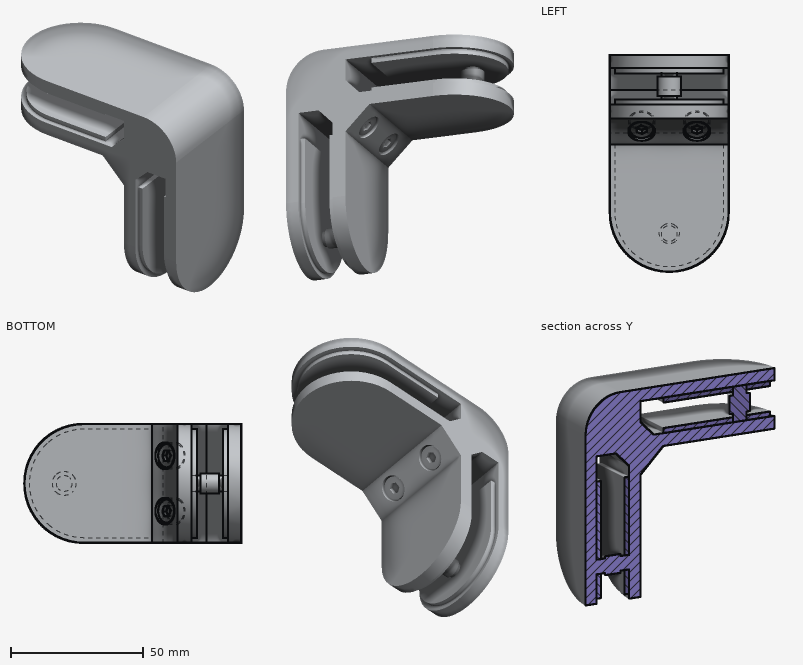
import cadquery as cq
import math


ARM_LENGTH = 82.0
WIDTH = 45.0
OUTER_PLATE = 5.0
SLOT_GAP = 13.8
INNER_PLATE = 5.25
CORNER_RADIUS = 15.0
SLOT_CHAMFER = 5.6
WEB_LEG = 9.75
SLOT_NEAR = OUTER_PLATE
SLOT_FAR = SLOT_NEAR + SLOT_GAP
ARM_DEPTH = SLOT_FAR + INNER_PLATE
END_RADIUS = WIDTH / 2
END_CENTRE = ARM_LENGTH - END_RADIUS

GASKET_THICKNESS = 2.0
GASKET_INSET = 2.0
GASKET_RADIUS = END_RADIUS - GASKET_INSET
GASKET_START = ARM_DEPTH + WEB_LEG

STEM_DIAMETER = 6.0
PIN_FROM_END = 15.1
PIN_COLLAR_DIAMETER = 9.0
PIN_COLLAR_LENGTH = 7.4
POST_FROM_END = 14.5
POST_COLLAR_DIAMETER = 7.6
POST_COLLAR_LENGTH = 6.9

SCREW_SPACING = 20.9
SCREW_DIAMETER = 8.85
SCREW_LENGTH = 4.9
SCREW_RECESS = 0.9
SCREW_HOLE_DIAMETER = 10.0
SOCKET_ACROSS_FLATS = 3.85
SOCKET_DEPTH = 2.05
SOCKET_ANGLES = (90, 84)


def to_lower_arm(shape):
    """Swap X and Z, which carries a shape from the -X arm to the -Z arm."""
    return shape.mirror("XY").rotate((0, 0, 0), (0, 1, 0), -90)


def tongue(start, radius, top, thickness):
    """Plate in the -X arm from x = -start to a half-round end, with its upper face at z = top."""
    return (
        cq.Workplane("XY", origin=(0, 0, top))
        .moveTo(-start, -radius)
        .lineTo(-END_CENTRE, -radius)
        .threePointArc((-END_CENTRE - radius, 0), (-END_CENTRE, radius))
        .lineTo(-start, radius)
        .close()
        .extrude(-thickness)
    )


def collared_stem(from_end, collar_diameter, collar_length):
    """Stem across the slot of the -X arm, with a collar halfway along it."""
    axis_x = from_end - ARM_LENGTH
    collar_top = -SLOT_NEAR - (SLOT_GAP - collar_length) / 2
    stem = (
        cq.Workplane("XY", origin=(axis_x, 0, -SLOT_NEAR))
        .circle(STEM_DIAMETER / 2)
        .extrude(-SLOT_GAP)
    )
    collar = (
        cq.Workplane("XY", origin=(axis_x, 0, collar_top))
        .circle(collar_diameter / 2)
        .extrude(-collar_length)
    )
    return stem.union(collar)


def web_planes(depth):
    """Workplanes at the screw axes, sunk by depth below the sloping web face and facing inward."""
    face_middle = -ARM_DEPTH - WEB_LEG / 2
    coordinate = face_middle + depth / math.sqrt(2)
    return [
        cq.Workplane(cq.Plane(origin=(coordinate, y, coordinate), xDir=(0, 1, 0), normal=(1, 0, 1)))
        for y in (-SCREW_SPACING / 2, SCREW_SPACING / 2)
    ]


def make_corner():
    """Solid core where the two arms meet, up to the gasket ends."""
    arc_middle = -CORNER_RADIUS * (1 - math.sqrt(0.5))
    return (
        cq.Workplane("XZ", origin=(0, WIDTH / 2, 0))
        .moveTo(-ARM_DEPTH, 0)
        .lineTo(-CORNER_RADIUS, 0)
        .threePointArc((arc_middle, arc_middle), (0, -CORNER_RADIUS))
        .lineTo(0, -ARM_DEPTH)
        .lineTo(-SLOT_FAR + SLOT_CHAMFER, -ARM_DEPTH)
        .lineTo(-SLOT_FAR, -ARM_DEPTH - SLOT_CHAMFER)
        .lineTo(-SLOT_FAR, -GASKET_START)
        .lineTo(-ARM_DEPTH, -GASKET_START)
        .lineTo(-GASKET_START, -ARM_DEPTH)
        .lineTo(-GASKET_START, -SLOT_FAR)
        .lineTo(-ARM_DEPTH - SLOT_CHAMFER, -SLOT_FAR)
        .lineTo(-ARM_DEPTH, -SLOT_FAR + SLOT_CHAMFER)
        .close()
        .extrude(WIDTH)
    )


def make_clamp():
    """Forked corner body with its fixed post and the two screw holes."""
    outer_plate = tongue(ARM_DEPTH, END_RADIUS, 0, OUTER_PLATE)
    inner_plate = tongue(GASKET_START, END_RADIUS, -SLOT_FAR, INNER_PLATE)
    post = collared_stem(POST_FROM_END, POST_COLLAR_DIAMETER, POST_COLLAR_LENGTH)
    clamp = make_corner()
    for plate in (outer_plate, inner_plate):
        clamp = clamp.union(plate).union(to_lower_arm(plate))
    clamp = clamp.union(to_lower_arm(post)).clean()
    for plane in web_planes(0):
        clamp = clamp.cut(plane.circle(SCREW_HOLE_DIAMETER / 2).extrude(SCREW_RECESS + SCREW_LENGTH))
    return clamp


def make_gasket(top, stem_from_end):
    """Gasket of the -X arm with its upper face at z = top and a hole for the stem."""
    gasket = tongue(GASKET_START, GASKET_RADIUS, top, GASKET_THICKNESS)
    hole = (
        cq.Workplane("XY", origin=(stem_from_end - ARM_LENGTH, 0, top))
        .circle(STEM_DIAMETER / 2)
        .extrude(-GASKET_THICKNESS)
    )
    return gasket.cut(hole)


def make_screw(plane, socket_angle):
    """Cylindrical screw seated in its hole, with a hexagon socket in the exposed end."""
    socket_corner_diameter = SOCKET_ACROSS_FLATS / math.cos(math.pi / 6)
    screw = plane.circle(SCREW_DIAMETER / 2).extrude(SCREW_LENGTH)
    socket = (
        plane.transformed(rotate=(0, 0, socket_angle))
        .polygon(6, socket_corner_diameter)
        .extrude(SOCKET_DEPTH)
    )
    return screw.cut(socket)


clamp = make_clamp()
pin = collared_stem(PIN_FROM_END, PIN_COLLAR_DIAMETER, PIN_COLLAR_LENGTH)

gaskets = []
for gasket_top in (-SLOT_NEAR, -SLOT_FAR + GASKET_THICKNESS):
    gaskets.append(make_gasket(gasket_top, PIN_FROM_END))
    gaskets.append(to_lower_arm(make_gasket(gasket_top, POST_FROM_END)))

screws = [make_screw(plane, angle) for plane, angle in zip(web_planes(SCREW_RECESS), SOCKET_ANGLES)]

result = cq.Compound.makeCompound([body.val() for body in (clamp, pin, *gaskets, *screws)])